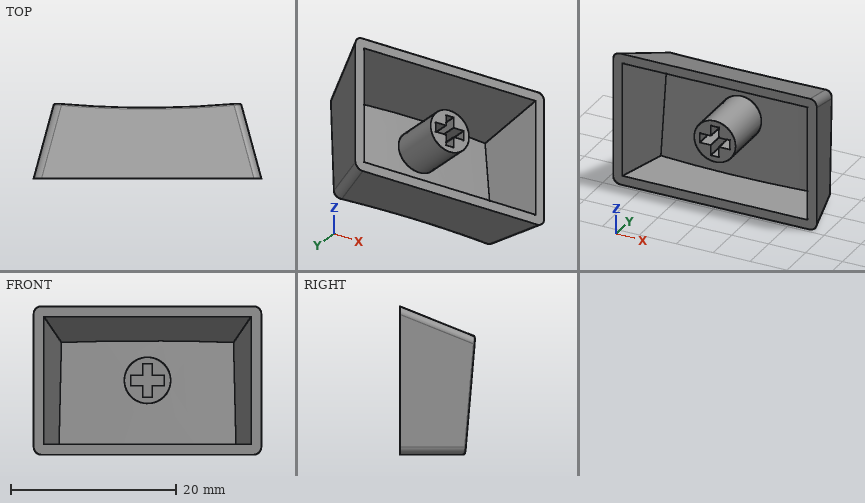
import cadquery as cq
import math

width = 27.6
height = 18.0
crown_depth = 9.15
side_angle = 15.2
roof_angle = 21.8
crown_angle = 5.0
corner_radius = 1.0
crown_edge_radius = 0.28
dish_sag = 0.55

wall = 1.27
crown_thickness = 1.25

stem_diameter = 5.6
stem_height = 9.03
cross_span = 4.08
cross_upright_width = 1.1
cross_bar_width = 1.27
cross_depth = 4.0

side_slope = math.tan(math.radians(side_angle))
roof_slope = math.tan(math.radians(roof_angle))
crown_slope = math.tan(math.radians(crown_angle))
crown_top_z = height - roof_slope * crown_depth
crown_base_y = crown_depth - crown_slope * crown_top_z
crown_half_width = width / 2 - side_slope * crown_depth
dish_radius = (crown_half_width**2 + dish_sag**2) / (2 * dish_sag)
overlap = 0.55
stem_end_offset = crown_thickness / 2
reach = 2 * width


def tapered_body(inset):
    """Wedge with leaning sides and roof, inset from the outer walls and overlong in Y."""
    depth = crown_depth + overlap
    half_width = width / 2 - inset
    far_half_width = half_width - side_slope * depth
    top = height - inset
    plan = [(-half_width, 0), (half_width, 0), (far_half_width, depth), (-far_half_width, depth)]
    profile = [(0, inset), (depth, inset), (depth, top - roof_slope * depth), (0, top)]
    sides = cq.Workplane("XY").polyline(plan).close().extrude(height)
    wedge = cq.Workplane("YZ").polyline(profile).close().extrude(width / 2, both=True)
    return sides.intersect(wedge)


def dish_tool(offset):
    """Large cylinder whose lowest side is the dished crown, moved inward by offset."""
    crown_plane = cq.Plane(
        origin=(0, crown_base_y - offset, 0),
        xDir=(1, 0, 0),
        normal=(0, crown_slope, 1),
    )
    return (
        cq.Workplane(crown_plane)
        .center(0, dish_radius - dish_sag)
        .circle(dish_radius)
        .extrude(reach, both=True)
    )


def stem():
    """Round post running from the rim into the crown."""
    post = cq.Workplane("XZ", origin=(0, 0, stem_height)).circle(stem_diameter / 2).extrude(-crown_depth)
    return post.cut(dish_tool(stem_end_offset))


def cross_socket():
    face = cq.Workplane("XZ", origin=(0, 0, stem_height))
    upright = face.rect(cross_upright_width, cross_span).extrude(-cross_depth)
    bar = face.rect(cross_span, cross_bar_width).extrude(-cross_depth)
    return upright.union(bar)


corners = tapered_body(0).edges("not(|X or |Z or <Y or >Y)")
shell = corners.fillet(corner_radius).cut(dish_tool(0))
shell = shell.faces(">Y").edges().fillet(crown_edge_radius)
cavity = tapered_body(wall).cut(dish_tool(crown_thickness))
result = shell.cut(cavity).union(stem()).cut(cross_socket())